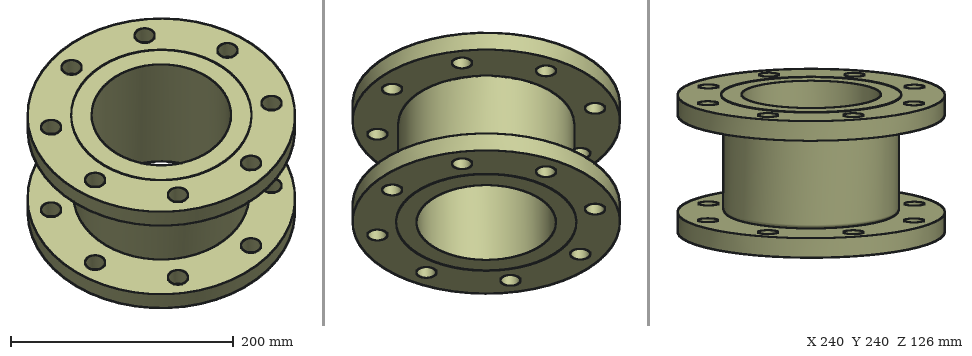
import cadquery as cq

overall_length = 126.0
bore_diameter = 125.0

flange_diameter = 240.0
flange_thickness = 18.0
raised_face_diameter = 161.8
raised_face_height = 0.5

body_diameter = 158.0
body_end_fillet = 3.5
body_length = overall_length - 2 * (flange_thickness + raised_face_height)

bolt_count = 8
bolt_hole_diameter = 18.0
bolt_circle_diameter = 200.0
bolt_spacing_angle = 360 / bolt_count
first_bolt_angle = bolt_spacing_angle / 2


def disc(diameter, bottom, height):
    """Solid cylinder about the Z axis, starting at height bottom."""
    return cq.Workplane("XY").workplane(offset=bottom).circle(diameter / 2).extrude(height)


def make_body():
    """Cylinder centred on the origin, rounded where it meets the flanges."""
    return disc(body_diameter, -body_length / 2, body_length).edges("%CIRCLE").fillet(body_end_fillet)


def make_upper_flange():
    """Drilled flange with its raised sealing face on top."""
    flange_bottom = body_length / 2
    flange = disc(flange_diameter, flange_bottom, flange_thickness)
    raised_face = disc(raised_face_diameter, flange_bottom + flange_thickness, raised_face_height)
    bolt_holes = (
        cq.Workplane("XY")
        .workplane(offset=flange_bottom)
        .polarArray(bolt_circle_diameter / 2, first_bolt_angle, 360, bolt_count)
        .circle(bolt_hole_diameter / 2)
        .extrude(flange_thickness)
    )
    return flange.union(raised_face).cut(bolt_holes)


upper_flange = make_upper_flange()
lower_flange = upper_flange.mirror("XY")
bore = disc(bore_diameter, -overall_length / 2, overall_length)

result = make_body().union(upper_flange).union(lower_flange).cut(bore)